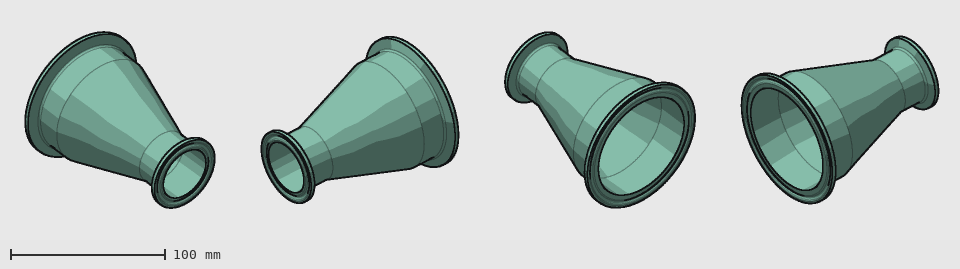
import cadquery as cq
import math

LENGTH = 107.0
CONE_START = 23.0
CONE_END = 83.9

LARGE_FLANGE_RADIUS = 91.0 / 2
LARGE_TUBE_RADIUS = 76.3 / 2
LARGE_BORE_RADIUS = 72.3 / 2
SMALL_FLANGE_RADIUS = 50.5 / 2
SMALL_TUBE_RADIUS = 38.1 / 2
SMALL_BORE_RADIUS = 35.7 / 2

RIM_THICKNESS = 2.9
BACK_ANGLE = math.radians(20)
NECK_FILLET = 1.6

RIM_LAND = 1.7
GROOVE_RADIUS = 1.3
LIP_RADIUS = 1.1
GROOVE_HALF_WIDTH = 2.0


def revolve_about_x(profile):
    return profile.revolve(360, (0, 0, 0), (1, 0, 0))


def reducer_body():
    """Hollow reducer: straight tube, cone, straight tube."""
    outline = [
        (0, LARGE_BORE_RADIUS),
        (0, LARGE_TUBE_RADIUS),
        (CONE_START, LARGE_TUBE_RADIUS),
        (CONE_END, SMALL_TUBE_RADIUS),
        (LENGTH, SMALL_TUBE_RADIUS),
        (LENGTH, SMALL_BORE_RADIUS),
        (CONE_END, SMALL_BORE_RADIUS),
        (CONE_START, LARGE_BORE_RADIUS),
    ]
    return revolve_about_x(cq.Workplane("XY").polyline(outline).close())


def arc_point(center, radius, angle):
    return (center[0] + radius * math.cos(angle), center[1] + radius * math.sin(angle))


def flange(flange_radius, tube_radius, bore_radius):
    """Clamp flange with its face at X = 0 and its sloped back toward +X."""
    fillet_center_radius = tube_radius + NECK_FILLET
    fillet_start_radius = fillet_center_radius - NECK_FILLET * math.sin(BACK_ANGLE)
    fillet_start_x = RIM_THICKNESS + (flange_radius - fillet_start_radius) * math.tan(BACK_ANGLE)
    neck_x = fillet_start_x + NECK_FILLET * math.cos(BACK_ANGLE)
    fillet_center = (neck_x, fillet_center_radius)
    start_angle = math.pi + BACK_ANGLE
    end_angle = 1.5 * math.pi
    middle = arc_point(fillet_center, NECK_FILLET, (start_angle + end_angle) / 2)

    profile = (
        cq.Workplane("XY")
        .moveTo(0, bore_radius)
        .lineTo(0, flange_radius)
        .lineTo(RIM_THICKNESS, flange_radius)
        .lineTo(fillet_start_x, fillet_start_radius)
        .threePointArc(middle, (neck_x, tube_radius))
        .lineTo(neck_x, bore_radius)
        .close()
    )
    return revolve_about_x(profile)


def gasket_groove(flange_radius):
    """Ring to cut from a flange face at X = 0: a round bottom tangent to two rounded lips."""
    middle_radius = flange_radius - RIM_LAND - GROOVE_HALF_WIDTH
    tangent_angle = math.asin(GROOVE_HALF_WIDTH / (GROOVE_RADIUS + LIP_RADIUS))
    bottom_center_x = LIP_RADIUS - (GROOVE_RADIUS + LIP_RADIUS) * math.cos(tangent_angle)
    bottom_center = (bottom_center_x, middle_radius)
    outer_lip = (LIP_RADIUS, middle_radius + GROOVE_HALF_WIDTH)
    inner_lip = (LIP_RADIUS, middle_radius - GROOVE_HALF_WIDTH)
    half_angle = tangent_angle / 2

    profile = (
        cq.Workplane("XY")
        .moveTo(0, outer_lip[1])
        .threePointArc(
            arc_point(outer_lip, LIP_RADIUS, math.pi + half_angle),
            arc_point(outer_lip, LIP_RADIUS, math.pi + tangent_angle),
        )
        .threePointArc(
            arc_point(bottom_center, GROOVE_RADIUS, 0),
            arc_point(bottom_center, GROOVE_RADIUS, -tangent_angle),
        )
        .threePointArc(
            arc_point(inner_lip, LIP_RADIUS, math.pi - half_angle),
            (0, inner_lip[1]),
        )
        .close()
    )
    return revolve_about_x(profile)


def at_small_end(shape):
    """Turn a shape made for the face at X = 0 to the face at the far end."""
    return shape.mirror("YZ").translate((LENGTH, 0, 0))


large_flange = flange(LARGE_FLANGE_RADIUS, LARGE_TUBE_RADIUS, LARGE_BORE_RADIUS)
small_flange = at_small_end(flange(SMALL_FLANGE_RADIUS, SMALL_TUBE_RADIUS, SMALL_BORE_RADIUS))

result = (
    reducer_body()
    .union(large_flange)
    .union(small_flange)
    .cut(gasket_groove(LARGE_FLANGE_RADIUS))
    .cut(at_small_end(gasket_groove(SMALL_FLANGE_RADIUS)))
)